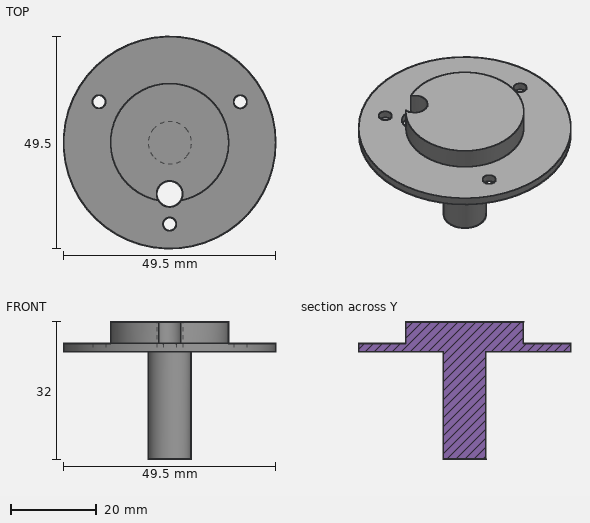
import cadquery as cq

flange_diameter = 49.5
flange_thickness = 2.0

boss_diameter = 27.5
boss_height = 5.0

shaft_diameter = 10.0
shaft_length = 25.0

mount_hole_diameter = 3.0
mount_hole_count = 3
mount_circle_radius = 19.0
first_hole_angle = -90

edge_hole_diameter = 6.0
edge_hole_offset = 12.0

flange = cq.Workplane("XY").circle(flange_diameter / 2).extrude(flange_thickness)

boss = (
    cq.Workplane("XY")
    .workplane(offset=flange_thickness)
    .circle(boss_diameter / 2)
    .extrude(boss_height)
)

shaft = cq.Workplane("XY").circle(shaft_diameter / 2).extrude(-shaft_length)

mount_holes = (
    cq.Workplane("XY")
    .polarArray(mount_circle_radius, first_hole_angle, 360, mount_hole_count)
    .circle(mount_hole_diameter / 2)
    .extrude(flange_thickness)
)

edge_hole = (
    cq.Workplane("XY")
    .center(0, -edge_hole_offset)
    .circle(edge_hole_diameter / 2)
    .extrude(flange_thickness + boss_height)
)

result = flange.union(boss).union(shaft).cut(mount_holes).cut(edge_hole)